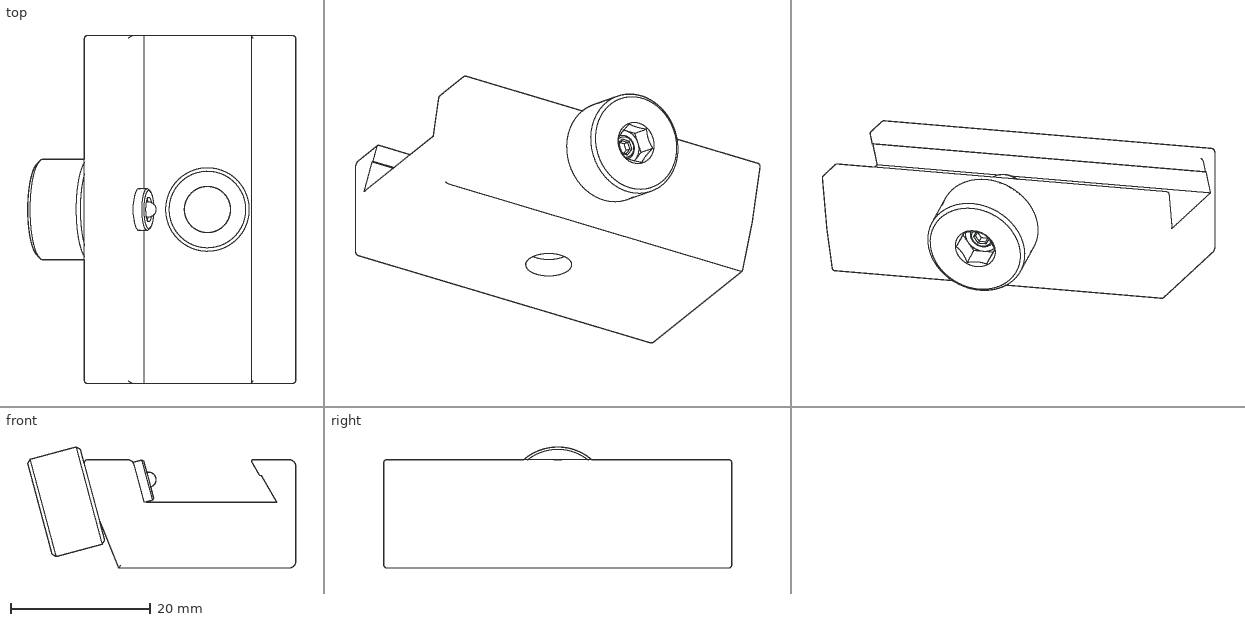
import cadquery as cq
import math

LENGTH = 50.0
HEIGHT = 15.6
FOOT_WIDTH = 25.45
KINK_HEIGHT = 6.85
KINK_WIDTH = 28.2
TILT = 15.0
END_ROUNDING = 0.5
SIDE_ROUNDING = 1.0

GROOVE_FLOOR = 9.5
GROOVE_NEAR_WIDTH = 21.8
DOVETAIL_ANGLE = 30.0
LIP_WIDTH = 6.55
STEP_HEIGHT = 13.3
STEP_DEPTH = 0.25
NEAR_ROUNDING = 1.0
LIP_ROUNDING = 0.25

HOLE_INSET = 12.7
HOLE_DIAMETER = 6.6
COUNTERBORE_DIAMETER = 11.0
COUNTERBORE_DEPTH = 6.8
COUNTERBORE_CHAMFER = 0.5

SEAT_HEIGHT = 10.55
KNOB_DIAMETER = 14.5
KNOB_LENGTH = 7.85
KNOB_CHAMFER = 0.5
SOCKET_FLATS = 5.0
SOCKET_DEPTH = 3.5
SOCKET_MOUTH = 6.0

STUD_DIAMETER = 6.0
STUD_PROJECTION = 1.5
STUD_CHAMFER = 0.25
SHANK_DIAMETER = SOCKET_FLATS

SLEEVE_DIAMETER = 3.5
SLEEVE_CHAMFER = 0.25
SLEEVE_RECESS = 0.5
SLEEVE_SOCKET_FLATS = 1.7
SLEEVE_SOCKET_DEPTH = 1.25
SLEEVE_SOCKET_BEVEL = 0.2
PIN_DIAMETER = 2.2
PIN_PROJECTION = 1.05
PIN_LENGTH = 5.0

tilt_slope = math.tan(math.radians(TILT))
tilt_cos = math.cos(math.radians(TILT))
tilt_sin = math.sin(math.radians(TILT))
dovetail_slope = math.tan(math.radians(DOVETAIL_ANGLE))


def side_width(height):
    """Width of the block at a height above the kink."""
    return KINK_WIDTH + (height - KINK_HEIGHT) * tilt_slope


seat_x = -side_width(SEAT_HEIGHT)
screw_axis = cq.Plane(
    origin=(seat_x, 0, SEAT_HEIGHT), xDir=(0, 1, 0), normal=(tilt_cos, 0, tilt_sin)
)
wall_position = (-GROOVE_NEAR_WIDTH - seat_x) * tilt_cos + (GROOVE_FLOOR - SEAT_HEIGHT) * tilt_sin
knob_face = -KNOB_LENGTH
socket_floor = knob_face + SOCKET_DEPTH
stud_end = wall_position + STUD_PROJECTION
sleeve_rear = socket_floor - SLEEVE_CHAMFER
sleeve_front = stud_end - SLEEVE_RECESS
pin_tip = stud_end + PIN_PROJECTION
pin_rear = pin_tip - PIN_LENGTH


def cylinder(diameter, start, end):
    """Cylinder on the local Z axis between two positions."""
    return cq.Workplane("XY").workplane(offset=start).circle(diameter / 2).extrude(end - start)


def hexagon(flats, start, length, taper=0):
    """Hexagonal prism on the local Z axis with corners on local X, narrowing by the taper angle."""
    corner_diameter = flats / math.cos(math.radians(30))
    outline = cq.Workplane("XY").workplane(offset=start).polygon(6, corner_diameter)
    return outline.extrude(length, taper=taper)


def cone(diameter, start):
    """45 degree cone on the local Z axis, widest at its start."""
    radius = diameter / 2
    return cq.Workplane("XY").add(cq.Solid.makeCone(radius, 0, radius, cq.Vector(0, 0, start)))


def on_screw_axis(body):
    """Move a body from its local frame onto the tilted screw axis."""
    return cq.Workplane("XY").newObject([body.val().moved(cq.Location(screw_axis))])


def blank():
    """Block without its groove and holes."""
    outline = [
        (0, 0),
        (0, HEIGHT),
        (-side_width(HEIGHT), HEIGHT),
        (-KINK_WIDTH, KINK_HEIGHT),
        (-FOOT_WIDTH, 0),
    ]
    body = cq.Workplane("XZ").polyline(outline).close().extrude(LENGTH / 2, both=True)
    body = body.edges("|Y and >X").fillet(SIDE_ROUNDING)
    body = body.edges("|Y and <X").fillet(END_ROUNDING)
    return body.faces("<Y or >Y").edges().fillet(END_ROUNDING)


def arc_points(center, radius, first_angle, last_angle):
    """Start, middle and end of an arc between two angles in degrees."""
    points = []
    for angle in (first_angle, (first_angle + last_angle) / 2, last_angle):
        turn = math.radians(angle)
        points.append((center[0] + radius * math.cos(turn), center[1] + radius * math.sin(turn)))
    return points


def groove():
    """Dovetail groove, with the roundings of its two top edges."""
    near_top_x = -GROOVE_NEAR_WIDTH - (HEIGHT - GROOVE_FLOOR) * tilt_slope
    ledge_x = -LIP_WIDTH + (HEIGHT - STEP_HEIGHT) * dovetail_slope
    lower_wall_x = ledge_x + STEP_DEPTH
    far_x = lower_wall_x + (STEP_HEIGHT - GROOVE_FLOOR) * dovetail_slope

    near_tangent = NEAR_ROUNDING * math.tan(math.radians((90 - TILT) / 2))
    near_center = (near_top_x - near_tangent, HEIGHT - NEAR_ROUNDING)
    near_start, near_middle, near_end = arc_points(near_center, NEAR_ROUNDING, 90, TILT)

    lip_tangent = LIP_ROUNDING * math.tan(math.radians((90 + DOVETAIL_ANGLE) / 2))
    lip_center = (-LIP_WIDTH + lip_tangent, HEIGHT - LIP_ROUNDING)
    lip_start, lip_middle, lip_end = arc_points(lip_center, LIP_ROUNDING, 180 + DOVETAIL_ANGLE, 90)

    return (
        cq.Workplane("XZ")
        .moveTo(*near_start)
        .threePointArc(near_middle, near_end)
        .lineTo(-GROOVE_NEAR_WIDTH, GROOVE_FLOOR)
        .lineTo(far_x, GROOVE_FLOOR)
        .lineTo(lower_wall_x, STEP_HEIGHT)
        .lineTo(ledge_x, STEP_HEIGHT)
        .lineTo(*lip_start)
        .threePointArc(lip_middle, lip_end)
        .close()
        .extrude(LENGTH / 2, both=True)
    )


def mounting_hole():
    """Through hole with a chamfered counterbore opening in the groove floor."""
    bore_radius = COUNTERBORE_DIAMETER / 2
    counterbore_floor = GROOVE_FLOOR - COUNTERBORE_DEPTH
    profile = [
        (0, 0),
        (HOLE_DIAMETER / 2, 0),
        (HOLE_DIAMETER / 2, counterbore_floor),
        (bore_radius, counterbore_floor),
        (bore_radius, GROOVE_FLOOR - COUNTERBORE_CHAMFER),
        (bore_radius + COUNTERBORE_CHAMFER, GROOVE_FLOOR),
        (0, GROOVE_FLOOR),
    ]
    hole = cq.Workplane("XZ").polyline(profile).close().revolve(360, (0, 0, 0), (0, 1, 0))
    return hole.translate((-HOLE_INSET, 0, 0))


def make_block():
    stud_hole = on_screw_axis(cylinder(STUD_DIAMETER, 0, stud_end))
    return blank().cut(groove()).cut(mounting_hole()).cut(stud_hole)


def make_knob():
    knob = cylinder(KNOB_DIAMETER, knob_face, 0).edges().chamfer(KNOB_CHAMFER)
    knob = knob.cut(hexagon(SOCKET_FLATS, knob_face, SOCKET_DEPTH))
    knob = knob.cut(cone(SOCKET_MOUTH, knob_face))
    return on_screw_axis(knob.cut(cylinder(SHANK_DIAMETER, socket_floor, 0)))


def make_stud():
    stud = cylinder(STUD_DIAMETER, 0, stud_end).faces(">Z").edges().chamfer(STUD_CHAMFER)
    stud = stud.union(cylinder(SHANK_DIAMETER, socket_floor, 0))
    return on_screw_axis(stud.cut(cylinder(SLEEVE_DIAMETER, socket_floor, stud_end)))


def make_sleeve():
    sleeve = cylinder(SLEEVE_DIAMETER, sleeve_rear, sleeve_front)
    sleeve = sleeve.faces("<Z").edges().chamfer(SLEEVE_CHAMFER)
    mouth_flats = SLEEVE_SOCKET_FLATS + 2 * SLEEVE_SOCKET_BEVEL
    sleeve = sleeve.cut(hexagon(SLEEVE_SOCKET_FLATS, sleeve_rear, SLEEVE_SOCKET_DEPTH))
    sleeve = sleeve.cut(hexagon(mouth_flats, sleeve_rear, SLEEVE_SOCKET_BEVEL, taper=45))
    return on_screw_axis(sleeve.cut(cylinder(PIN_DIAMETER, pin_rear, sleeve_front)))


def make_pin():
    nose_center = pin_tip - PIN_DIAMETER / 2
    nose = cq.Workplane("XY").sphere(PIN_DIAMETER / 2).translate((0, 0, nose_center))
    return on_screw_axis(cylinder(PIN_DIAMETER, pin_rear, nose_center).union(nose))


block = make_block()
knob = make_knob()
stud = make_stud()
sleeve = make_sleeve()
pin = make_pin()

result = cq.Compound.makeCompound(
    [block.val(), knob.val(), stud.val(), sleeve.val(), pin.val()]
)